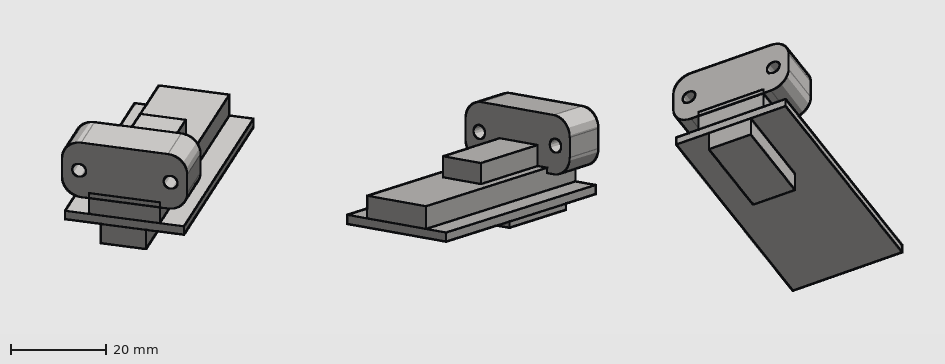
import cadquery as cq

overall_length = 52.43
overall_height = 23.08

flange_width = 27.4
flange_depth = 10.05
flange_height = 12.8
flange_corner_radius = 4.22
flange_overhang = 0.08

hole_diameter = 3.0
hole_spacing = 20.0
hole_offset_x = 0.05
hole_drop = 0.15

board_width = 26.0
board_thickness = 2.0
block_width = 15.45
block_height = 4.9
board_offset_x = -0.05

connector_width = 9.95
connector_length = 19.85
connector_height = 4.54
connector_offset_x = -0.3

board_length = overall_length - flange_overhang
block_top = board_thickness + block_height
flange_top = overall_height - connector_height
flange_bottom = flange_top - flange_height
hole_z = flange_bottom + flange_height / 2 - hole_drop


def box_at(width, length, height, center_x, front_y, bottom_z):
    """Box centred on center_x, running back from front_y and up from bottom_z."""
    return (
        cq.Workplane("XY")
        .box(width, length, height, centered=(True, False, False))
        .translate((center_x, front_y, bottom_z))
    )


def make_board():
    """Wide flat plate that carries the block and the lower connector."""
    return box_at(board_width, board_length, board_thickness, board_offset_x, flange_overhang, 0)


def make_block():
    """Long block lying on the board over its full length."""
    return box_at(block_width, board_length, block_height, board_offset_x, flange_overhang, board_thickness)


def make_connector(front_y, bottom_z):
    return box_at(connector_width, connector_length, connector_height, connector_offset_x, front_y, bottom_z)


def make_flange(block):
    """Rounded plate with two through holes, recessed from behind and below to seat the block."""
    plate = (
        box_at(flange_width, flange_depth, flange_height, 0, 0, flange_bottom)
        .edges("|Y")
        .fillet(flange_corner_radius)
    )
    holes = (
        cq.Workplane("XZ", origin=(hole_offset_x, 0, hole_z))
        .pushPoints([(-hole_spacing / 2, 0), (hole_spacing / 2, 0)])
        .circle(hole_diameter / 2)
        .extrude(-flange_depth)
    )
    return plate.cut(holes).cut(block).solids()


board = make_board()
block = make_block()
flange = make_flange(block)

connector_places = [
    (flange_depth, block_top),
    (flange_overhang, -connector_height),
]
connectors = [make_connector(front_y, bottom_z) for front_y, bottom_z in connector_places]

result = cq.Compound.makeCompound(
    [board.val(), block.val(), flange.val()] + [connector.val() for connector in connectors]
)